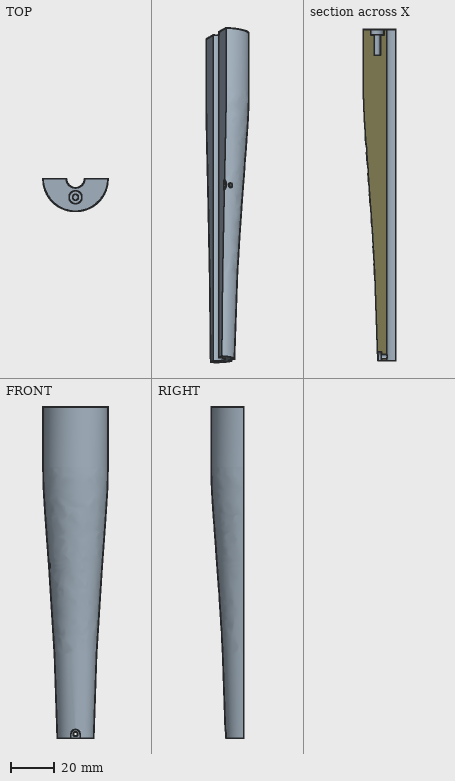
import cadquery as cq

length = 154.01
top_radius = 15.15
body_depth = 15.21
axis_y = top_radius - body_depth

end_radius = 8.5
taper_start_radius = 9.5
taper_start_height = 32.0
taper_end_radius = 14.3
taper_end_height = 106.0
straight_start_height = 126.0

channel_diameter = 8.4

screw_y = -8.6
screw_head_diameter = 6.0
screw_head_depth = 2.5
screw_hole_diameter = 2.73
screw_hole_depth = 12.0

pin_diameter = 2.0
pin_height = 2.0
pin_seat_width = 4.2
pin_seat_floor_y = -6.7

side_height = 80.3
side_hole_diameter = 2.0
side_hole_y = -3.1
side_hole_floor_x = -7.6
notch_diameter = 6.0
notch_reach = 1.0
notch_y = notch_diameter / 2 - notch_reach
notch_floor_x = -11.1


def make_body():
    """Revolve the grip outline and keep the half on the -Y side of the split face."""
    outline = (
        cq.Workplane("XZ", origin=(0, axis_y, 0))
        .lineTo(end_radius, 0)
        .spline(
            [
                (taper_start_radius, taper_start_height),
                (taper_end_radius, taper_end_height),
                (top_radius, straight_start_height),
            ],
            tangents=[(taper_start_radius - end_radius, taper_start_height), (0, 1)],
            includeCurrent=True,
        )
        .lineTo(top_radius, length)
        .lineTo(0, length)
        .close()
    )
    grip = outline.revolve(360, (0, 0, 0), (0, 1, 0))
    kept_half = (
        cq.Workplane("XY", origin=(0, -body_depth / 2, 0))
        .rect(2 * top_radius, body_depth)
        .extrude(length)
    )
    return grip.intersect(kept_half)


def make_channel():
    return cq.Workplane("XY").circle(channel_diameter / 2).extrude(length)


def make_screw_hole():
    """Blind hole and head seat sunk from the wide end."""
    top = cq.Workplane("XY", origin=(0, screw_y, length))
    head_seat = top.circle(screw_head_diameter / 2).extrude(-screw_head_depth)
    hole = top.circle(screw_hole_diameter / 2).extrude(-screw_hole_depth)
    return head_seat.union(hole)


def make_pin_hole():
    """Hole through to the channel, with an arched seat running out of the end face."""
    pin_plane = cq.Workplane("XZ", origin=(0, 0, pin_height))
    hole = pin_plane.circle(pin_diameter / 2).extrude(body_depth)
    seat_plane = pin_plane.workplane(offset=-pin_seat_floor_y)
    seat_depth = body_depth + pin_seat_floor_y
    arch = seat_plane.circle(pin_seat_width / 2).extrude(seat_depth)
    run_out = (
        seat_plane.center(0, -pin_height / 2)
        .rect(pin_seat_width, pin_height)
        .extrude(seat_depth)
    )
    return hole.union(arch).union(run_out)


def make_side_recess(diameter, center_y, floor_x):
    """Round flat-bottomed recess bored in from the -X side."""
    floor_plane = cq.Workplane("YZ", origin=(floor_x, center_y, side_height))
    return floor_plane.circle(diameter / 2).extrude(-top_radius)


result = (
    make_body()
    .cut(make_channel())
    .cut(make_screw_hole())
    .cut(make_pin_hole())
    .cut(make_side_recess(side_hole_diameter, side_hole_y, side_hole_floor_x))
    .cut(make_side_recess(notch_diameter, notch_y, notch_floor_x))
)